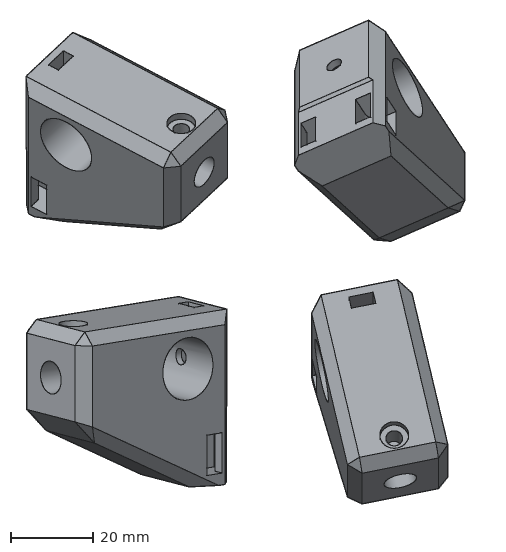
import cadquery as cq
import math

length = 47.0
width = 25.0
height = 42.7
half_width = width / 2
bevel = 3.0

slope_angle = 26.6
base_length = 11.55
slope_rise = math.tan(math.radians(slope_angle))
slope_end_z = (length - base_length) * slope_rise
lower_corner_rise = 3.0

relief_depth = 0.75
relief_height = 18.0

rod_diameter = 15.5
rod_x = 14.45
rod_z = 30.2
screw_diameter = 4.0
nut_slot_x = 2.0
nut_slot_length = 3.0
nut_slot_width = 6.05
nut_slot_bottom = rod_z - nut_slot_width / 2

top_screw_x = 40.05
counterbore_diameter = 7.0
counterbore_depth = 2.0
bore_diameter = 8.1
bore_depth = 14.0

channel_bottom = 2.95
channel_height = 10.0
channel_inner_x = 3.8
channel_outer_x = 8.55
channel_inner_inset = 2.9
channel_outer_inset = 7.0
channel_radius = 3.0


def make_block():
    """Sloped block with beveled front and back rims and a plain base."""
    outline = [
        (0, -base_length * slope_rise),
        (length, slope_end_z),
        (length, height),
        (0, height),
    ]
    block = cq.Workplane("XZ").polyline(outline).close().extrude(half_width, both=True)
    block = block.faces("<Y or >Y").chamfer(bevel)
    below_base = cq.Workplane("XY").box(3 * length, 3 * width, height, centered=(True, True, False))
    return block.cut(below_base.translate((0, 0, -height)))


def tetrahedron(a, b, c, d):
    """Solid with the four given corner points."""
    faces = [
        cq.Face.makeFromWires(cq.Wire.makePolygon([cq.Vector(*p) for p in triangle], close=True))
        for triangle in ((a, b, c), (a, b, d), (a, c, d), (b, c, d))
    ]
    return cq.Workplane(obj=cq.Solid.makeSolid(cq.Shell.makeShell(faces)))


def corner_cutter(corner, first, second, rim_corner):
    """Bevel across a right-hand corner, tapering to the corner of the front and back faces."""
    inner_y = half_width - bevel
    cutter = cq.Workplane("XZ").polyline([corner, first, second]).close().extrude(inner_y, both=True)
    for side in (-1, 1):
        triangle = [(x, side * inner_y, z) for x, z in (corner, first, second)]
        tip = (rim_corner[0], side * half_width, rim_corner[1])
        cutter = cutter.union(tetrahedron(*triangle, tip))
    return cutter


def upper_corner():
    return corner_cutter(
        (length, height),
        (length - bevel, height),
        (length, height - bevel),
        (length - bevel, height - bevel),
    )


def lower_corner():
    run = lower_corner_rise / (1 - slope_rise)
    rim_z = slope_end_z - bevel * slope_rise + bevel / math.cos(math.radians(slope_angle))
    return corner_cutter(
        (length, slope_end_z),
        (length, slope_end_z + lower_corner_rise),
        (length - run, slope_end_z - run * slope_rise),
        (length - bevel, rim_z),
    )


def left_relief():
    profile = [
        (0, 0),
        (relief_depth, 0),
        (relief_depth, relief_height),
        (0, relief_height + relief_depth),
    ]
    return cq.Workplane("XZ").polyline(profile).close().extrude(half_width, both=True)


def rod_clamp():
    rod = cq.Workplane("XZ").center(rod_x, rod_z).circle(rod_diameter / 2).extrude(half_width, both=True)
    screw = cq.Workplane("YZ").center(0, rod_z).circle(screw_diameter / 2).extrude(rod_x)
    nut_slot = cq.Workplane("XY").box(
        nut_slot_length, nut_slot_width, height - nut_slot_bottom, centered=(False, True, False)
    )
    return rod.union(screw).union(nut_slot.translate((nut_slot_x, 0, nut_slot_bottom)))


def right_bore():
    bore = (
        cq.Workplane("YZ", origin=(length, 0, rod_z))
        .circle(bore_diameter / 2)
        .extrude(-bore_depth)
    )
    top = cq.Workplane("XY", origin=(top_screw_x, 0, height))
    screw = top.circle(screw_diameter / 2).extrude(rod_z - height)
    counterbore = top.circle(counterbore_diameter / 2).extrude(-counterbore_depth)
    return bore.union(screw).union(counterbore)


def tie_channel():
    """Channel from the left face to the front face, with a rounded outer wall."""
    front = -half_width
    outer = (
        cq.Workplane("XY", origin=(0, 0, channel_bottom))
        .moveTo(0, front)
        .lineTo(channel_outer_x, front)
        .lineTo(channel_outer_x, front + channel_outer_inset - channel_radius)
        .radiusArc((channel_outer_x - channel_radius, front + channel_outer_inset), -channel_radius)
        .lineTo(0, front + channel_outer_inset)
        .close()
        .extrude(channel_height)
    )
    corner_post = cq.Workplane("XY").box(
        channel_inner_x, channel_inner_inset, height, centered=False
    )
    return outer.cut(corner_post.translate((0, front, 0)))


result = make_block().cut(upper_corner()).cut(lower_corner()).cut(left_relief())
result = result.cut(rod_clamp()).cut(right_bore())
result = result.cut(tie_channel()).cut(tie_channel().mirror("XZ"))